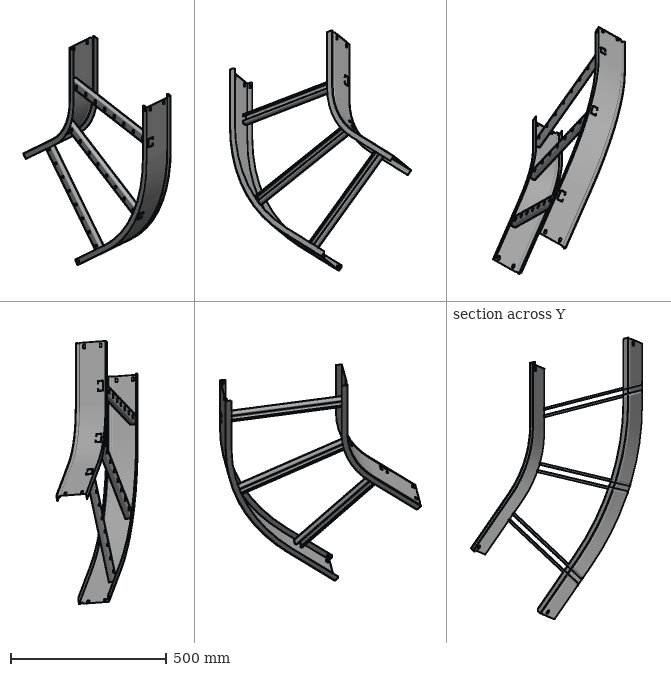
import cadquery as cq
import math


total_height = 865.0
bend_angle = 45.0
inner_radius = 300.0
ladder_width = 401.0
outer_radius = inner_radius + ladder_width
bend_sine = math.sin(math.radians(bend_angle))
bend_cosine = math.cos(math.radians(bend_angle))
straight_length = (total_height - outer_radius * bend_sine) / (1 + bend_cosine)

rail_depth = 100.0
flange_width = 20.0
sheet = 1.5
bead_crest = 3.0
bead_mouth = 9.5
bead_depth = 5.0
bead_rounding = 1.0
bead_centre_y = rail_depth - 9.5

web_slot_width = 7.0
flange_slot_width = 5.0
end_slot_length = 13.0
end_slot_inset = 14.0
web_slot_heights = (16.5, 72.0)
flange_slot_inset = 10.0
flange_corner_chamfer = 4.0

rung_width = 35.0
rung_depth = 19.0
rung_front_y = 8.0
rung_lip = 9.0
rung_bend_radius = 3.0
rung_end_inset = 150.0
rung_slot_count = 8
rung_slot_pitch = 49.0
rung_slot_width = 7.0
rung_slot_length = 14.0
curved_web_overrun = 2.0
first_rung_slot = 25.0


def on_both_ends(upper):
    """Pair a shape on the upper straight with its mirror image on the lower straight."""
    return [upper, upper.mirror("XY").rotate((0, 0, 0), (0, 1, 0), bend_angle)]


def rail_section(web_radius, inward):
    """Channel outline; inward is +1 or -1, the way its flanges point along the radius."""
    crest = bead_crest / 2
    mouth = bead_mouth / 2
    slope_angle = math.atan2(bead_depth, mouth - crest)
    spread = sheet * math.tan(slope_angle / 2)

    flange_and_web_outside = [(flange_width, 0), (0, 0)]
    bead_outside = [
        (0, bead_centre_y - mouth),
        (bead_depth, bead_centre_y - crest),
        (bead_depth, bead_centre_y + crest),
        (0, bead_centre_y + mouth),
    ]
    far_flange = [
        (0, rail_depth),
        (flange_width, rail_depth),
        (flange_width, rail_depth - sheet),
        (sheet, rail_depth - sheet),
    ]
    bead_inside = [
        (sheet, bead_centre_y + mouth + spread),
        (sheet + bead_depth, bead_centre_y + crest + spread),
        (sheet + bead_depth, bead_centre_y - crest - spread),
        (sheet, bead_centre_y - mouth - spread),
    ]
    flange_and_web_inside = [(sheet, sheet), (flange_width, sheet)]
    corners = flange_and_web_outside + bead_outside + far_flange + bead_inside + flange_and_web_inside

    outline = cq.Wire.makePolygon(
        [cq.Vector(web_radius + inward * depth, y, 0) for depth, y in corners], close=True
    )
    bead_heights = [y for _, y in bead_outside + bead_inside]
    bead_corners = [
        vertex
        for vertex in outline.Vertices()
        if min(bead_heights) - sheet / 2 < vertex.Y < max(bead_heights) + sheet / 2
    ]
    rounded = outline.fillet2D(bead_rounding, bead_corners)
    return cq.Workplane("XY").add(rounded).toPending()


def web_slots(web_radius):
    """Slots through the web near the upper end, long along the rail."""
    return (
        cq.Workplane("YZ", origin=(web_radius, 0, straight_length - end_slot_inset))
        .pushPoints([(y, 0) for y in web_slot_heights])
        .slot2D(end_slot_length, web_slot_width, 90)
        .extrude(2 * sheet, both=True)
    )


def make_rail(web_radius, inward):
    """Straight, bend and straight of one channel, with slotted webs at both ends."""
    rail = rail_section(web_radius, inward).revolve(bend_angle, (0, 0), (0, 1))
    for straight in on_both_ends(rail_section(web_radius, inward).extrude(straight_length)):
        rail = rail.union(straight)
    for slots in on_both_ends(web_slots(web_radius)):
        rail = rail.cut(slots)
    return rail


def front_flange_slot():
    """Slot through the outer rail's front flange near the upper end."""
    return (
        cq.Workplane("XZ", origin=(outer_radius - flange_slot_inset, 0, straight_length - end_slot_inset))
        .slot2D(end_slot_length, flange_slot_width, 90)
        .extrude(2 * sheet, both=True)
    )


def flange_corner_cut():
    """Wedge that chamfers the upper free corners of both flanges of the outer rail."""
    return (
        cq.Workplane("XZ", origin=(outer_radius - flange_width, 0, straight_length))
        .polyline([(0, 0), (flange_corner_chamfer, 0), (0, -flange_corner_chamfer)])
        .close()
        .extrude(-rail_depth)
    )


def rung_bar(depth, width, middle_y, overrun):
    """Bar of rectangular section from web to web, longer by the overrun towards the bend axis."""
    return (
        cq.Workplane("YZ", origin=(inner_radius - overrun, middle_y, 0))
        .rect(depth, width)
        .extrude(ladder_width + overrun)
    )


def make_rung(overrun=0):
    """Lipped C-section along the radius, opening to +Y, with a row of cross slots."""
    middle_y = rung_front_y + rung_depth / 2
    outside = rung_bar(rung_depth, rung_width, middle_y, overrun).edges("|X").fillet(rung_bend_radius)
    hollow = rung_bar(rung_depth - 2 * sheet, rung_width - 2 * sheet, middle_y, overrun)
    hollow = hollow.edges("|X").fillet(rung_bend_radius - sheet)
    mouth = rung_bar(rung_depth, rung_width - 2 * rung_lip, rung_front_y + rung_depth, overrun)
    slots = (
        cq.Workplane("XZ", origin=(inner_radius + first_rung_slot, rung_front_y, 0))
        .pushPoints([(i * rung_slot_pitch, 0) for i in range(rung_slot_count)])
        .slot2D(rung_slot_length, rung_slot_width, 90)
        .extrude(2 * sheet, both=True)
    )
    return outside.cut(hollow).cut(mouth).cut(slots)


def make_middle_rung():
    """Rung on the bisector of the bend, its ends trimmed flush with the curved webs."""
    ring = cq.Workplane("XZ").circle(outer_radius).circle(inner_radius).extrude(-rail_depth)
    blank = make_rung(curved_web_overrun)
    return blank.intersect(ring).rotate((0, 0, 0), (0, 1, 0), bend_angle / 2)


upper_rung = make_rung().translate((0, 0, straight_length - rung_end_inset))
rungs = [*on_both_ends(upper_rung), make_middle_rung()]

inner_rail = make_rail(inner_radius, 1)
outer_rail = make_rail(outer_radius, -1)
for end_cut in on_both_ends(front_flange_slot()) + on_both_ends(flange_corner_cut()):
    outer_rail = outer_rail.cut(end_cut)

for rung in rungs:
    inner_rail = inner_rail.cut(rung)
    outer_rail = outer_rail.cut(rung)

result = cq.Compound.makeCompound(
    [inner_rail.solids().val(), outer_rail.solids().val(), *[rung.solids().val() for rung in rungs]]
)